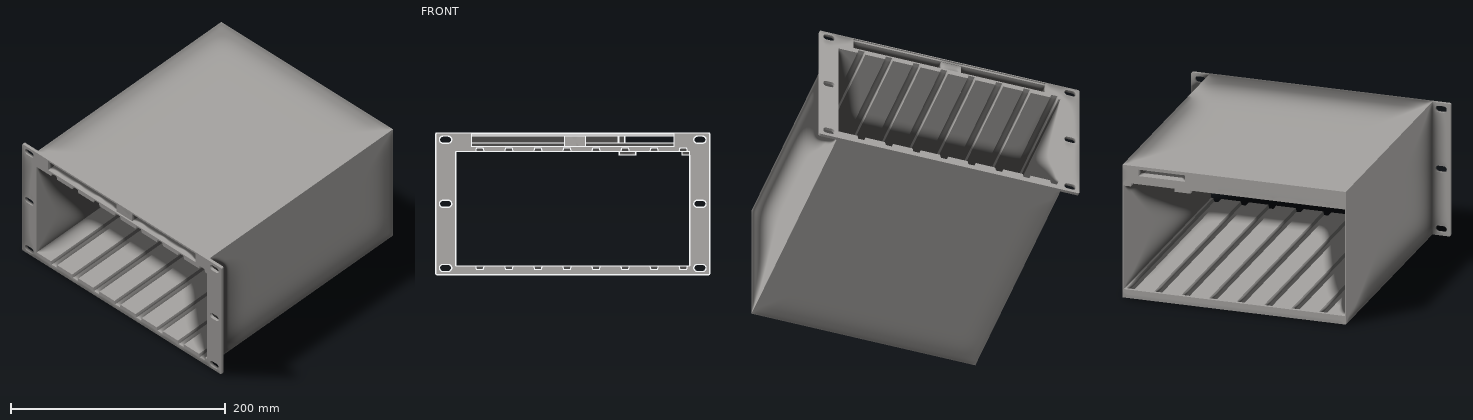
import cadquery as cq

panel_width = 255.0
total_depth = 251.5
total_height = 132.0

panel_thickness = 3.0
panel_corner_radius = 1.5
mount_slot_length = 11.2
mount_slot_height = 6.5
mount_slot_x = 118.3
mount_slot_edge_gap = 6.5

box_width = 219.5
side_wall = 1.0
bottom_plate = 8.5
top_plate = 17.5
rear_wall = 3.0

groove_count = 8
groove_pitch = 27.0
first_groove_x = -86.5
groove_mouth = 8.0
groove_base = 6.0
groove_depth = 3.5

channel_width = 188.2
channel_mouth_drop = 1.0
channel_ceiling_drop = 3.0
channel_floor_drop = 12.5
ceiling_setback = 1.0
pillar_left = -8.0
pillar_right = 12.0
pillar_setback = 1.5
rear_step_drop = 9.5
rear_step_length = 6.0
rear_opening_left = 48.5
divider_right = 43.0
divider_thickness = 1.0

first_tab_left = divider_right
tab_width = 15.5
tab_drop = 3.0
tab_pitch = 58.5
tab_length = 6.0

bay_half_width = box_width / 2 - side_wall
bay_top = total_height - top_plate
channel_half_width = channel_width / 2
channel_floor = total_height - channel_floor_drop
channel_ceiling = total_height - channel_ceiling_drop
rear_inner_y = total_depth - rear_wall
step_start_y = rear_inner_y - rear_step_length


def block(x0, x1, y0, y1, z0, z1):
    """Box given by its limits along X, Y and Z."""
    return cq.Workplane("XY").box(x1 - x0, y1 - y0, z1 - z0, centered=False).translate((x0, y0, z0))


def front_panel():
    """Rack panel with rounded corners and three mounting slots on each side."""
    panel = block(-panel_width / 2, panel_width / 2, 0, panel_thickness, 0, total_height)
    panel = panel.edges("|Y").fillet(panel_corner_radius)
    slot_heights = (mount_slot_edge_gap, total_height / 2, total_height - mount_slot_edge_gap)
    centers = [(x, z) for x in (-mount_slot_x, mount_slot_x) for z in slot_heights]
    slots = (
        cq.Workplane("XZ")
        .pushPoints(centers)
        .slot2D(mount_slot_length, mount_slot_height)
        .extrude(-panel_thickness)
    )
    return panel.cut(slots)


def guide_groove(x, face_z, direction):
    """Tapered groove sunk from face_z along Z (direction +1 or -1), open only at the front."""
    base_z = face_z + direction * groove_depth
    outline = [
        (x - groove_mouth / 2, face_z),
        (x + groove_mouth / 2, face_z),
        (x + groove_base / 2, base_z),
        (x - groove_base / 2, base_z),
    ]
    return cq.Workplane("XZ").polyline(outline).close().extrude(-rear_inner_y)


def tray_channel():
    """Space for a sliding tray: wide mouth, long channel, raised step and rear opening."""
    left, right = -channel_half_width, channel_half_width
    step_floor = total_height - rear_step_drop
    mouth_top = total_height - channel_mouth_drop
    mouth = block(left, right, 0, ceiling_setback, channel_floor, mouth_top)
    channel = block(left, right, 0, step_start_y, channel_floor, channel_ceiling)
    step = block(left, right, step_start_y, rear_inner_y, step_floor, channel_ceiling)
    opening = block(rear_opening_left, right, rear_inner_y, total_depth, step_floor, channel_ceiling)
    pillar = block(pillar_left, pillar_right, pillar_setback, rear_inner_y, channel_floor, channel_ceiling)
    divider_left = divider_right - divider_thickness
    divider = block(divider_left, divider_right, step_start_y, rear_inner_y, step_floor, channel_ceiling)
    return mouth.union(channel).union(step).union(opening).cut(pillar).cut(divider)


def rear_tab(left):
    """Tab under the top plate, cut off where it meets the side wall."""
    right = min(left + tab_width, bay_half_width)
    return block(left, right, total_depth - tab_length, total_depth, bay_top - tab_drop, bay_top)


result = front_panel()
result = result.union(block(-box_width / 2, box_width / 2, 0, total_depth, 0, total_height))
result = result.cut(block(-bay_half_width, bay_half_width, 0, total_depth, bottom_plate, bay_top))

for index in range(groove_count):
    groove_x = first_groove_x + index * groove_pitch
    result = result.cut(guide_groove(groove_x, bottom_plate, -1))
    result = result.cut(guide_groove(groove_x, bay_top, 1))

result = result.cut(tray_channel())

for tab_left in (first_tab_left, first_tab_left + tab_pitch):
    result = result.union(rear_tab(tab_left))